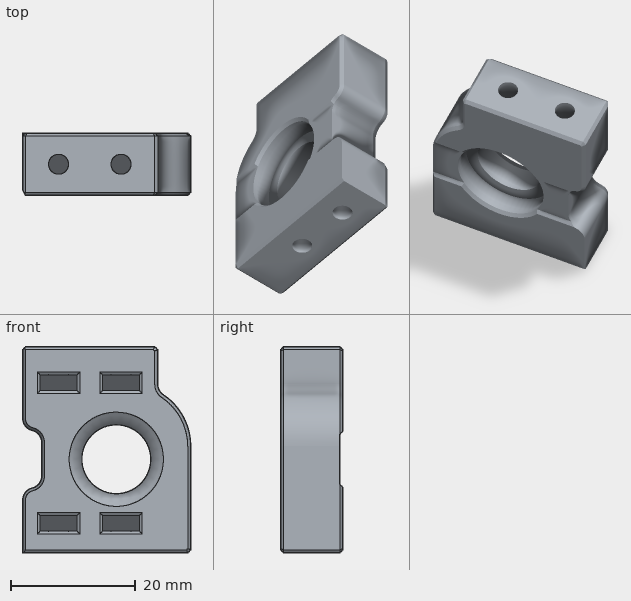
import cadquery as cq
import math

DEPTH = 10.0
LEFT = -15.0
RIGHT = 11.94
TOP = 18.05
BOTTOM = -15.0
UPPER_RIGHT = 6.65
EDGE_CHAMFER = 0.5

SHOULDER_RADIUS = 10.0
SHOULDER_CENTRE_Z = 2.05
SHOULDER_BLEND_RADIUS = 2.0

NOTCH_DEPTH = 3.05
NOTCH_FLOOR_HALF = 2.65
NOTCH_RADIUS = 2.0

LEFT_BEVEL_WIDTH = 0.45
LEFT_BEVEL_DEPTH = 0.9

BORE_DIAMETER = 11.0
COUNTERBORE_DIAMETER = 15.1
COUNTERBORE_FLOOR_Y = 6.25

GROOVE_DEPTH = 0.5
GROOVE_FLOOR_HALF = 4.0
GROOVE_MOUTH_HALF = GROOVE_FLOOR_HALF + GROOVE_DEPTH

SCREW_DIAMETER = 3.2
SCREW_SPACING = 10.0
SCREW_LEFT_X = -9.25
SCREW_XS = (SCREW_LEFT_X, SCREW_LEFT_X + SCREW_SPACING)
SCREW_Y = DEPTH / 2
POCKET_WIDTH = 5.9
POCKET_HEIGHT = 2.5
POCKET_DEPTH = 8.0
POCKET_CHAMFER = 0.45
UPPER_POCKET_Z = 12.25
LOWER_POCKET_Z = -10.25

TOLERANCE = 0.01


def polar(centre, radius, angle):
    """Point at the given angle (radians) on a circle."""
    return (centre[0] + radius * math.cos(angle), centre[1] + radius * math.sin(angle))


def make_body():
    """Extrude the outline with its shoulder, notch and bevelled corners."""
    shoulder = (RIGHT - SHOULDER_RADIUS, SHOULDER_CENTRE_Z)
    blend_x = UPPER_RIGHT + SHOULDER_BLEND_RADIUS
    blend_rise = math.sqrt((SHOULDER_RADIUS + SHOULDER_BLEND_RADIUS) ** 2 - (blend_x - shoulder[0]) ** 2)
    blend = (blend_x, shoulder[1] + blend_rise)
    join_angle = math.atan2(blend_rise, blend_x - shoulder[0])
    shoulder_join = polar(shoulder, SHOULDER_RADIUS, join_angle)
    shoulder_mid = polar(shoulder, SHOULDER_RADIUS, join_angle / 2)
    blend_mid = polar(blend, SHOULDER_BLEND_RADIUS, math.pi + join_angle / 2)

    notch_turn = math.acos(1 - NOTCH_DEPTH / (2 * NOTCH_RADIUS))
    notch_half = NOTCH_FLOOR_HALF + 2 * NOTCH_RADIUS * math.sin(notch_turn)
    notch_floor = LEFT + NOTCH_DEPTH
    inner = (notch_floor - NOTCH_RADIUS, NOTCH_FLOOR_HALF)
    outer = (LEFT + NOTCH_RADIUS, notch_half)
    inner_mid = polar(inner, NOTCH_RADIUS, notch_turn / 2)
    notch_join = polar(inner, NOTCH_RADIUS, notch_turn)
    outer_mid = polar(outer, NOTCH_RADIUS, math.pi + notch_turn / 2)

    def mirrored(point):
        return (point[0], -point[1])

    outline = (
        cq.Workplane("XZ")
        .moveTo(LEFT, BOTTOM)
        .lineTo(RIGHT - EDGE_CHAMFER, BOTTOM)
        .lineTo(RIGHT, BOTTOM + EDGE_CHAMFER)
        .lineTo(RIGHT, SHOULDER_CENTRE_Z)
        .threePointArc(shoulder_mid, shoulder_join)
        .threePointArc(blend_mid, (UPPER_RIGHT, blend[1]))
        .lineTo(UPPER_RIGHT, TOP - EDGE_CHAMFER)
        .lineTo(UPPER_RIGHT - EDGE_CHAMFER, TOP)
        .lineTo(LEFT + EDGE_CHAMFER, TOP)
        .lineTo(LEFT, TOP - EDGE_CHAMFER)
        .lineTo(LEFT, notch_half)
        .threePointArc(outer_mid, notch_join)
        .threePointArc(inner_mid, (notch_floor, NOTCH_FLOOR_HALF))
        .lineTo(notch_floor, -NOTCH_FLOOR_HALF)
        .threePointArc(mirrored(inner_mid), mirrored(notch_join))
        .threePointArc(mirrored(outer_mid), (LEFT, -notch_half))
        .close()
    )
    return outline.extrude(-DEPTH)


def chamfer_outline(body):
    """Bevel the left front edge and chamfer the other front and back outlines.

    The groove edges and the lower left back edge stay sharp.
    """
    notch_floor = LEFT + NOTCH_DEPTH

    def is_left(edge):
        return edge.Center().x < notch_floor + TOLERANCE

    def keeps_sharp(edge):
        on_groove = abs(edge.Center().z) < GROOVE_MOUTH_HALF + TOLERANCE
        lower_left = is_left(edge) and edge.Center().z < 0
        return on_groove or lower_left

    front = body.faces("<Y").edges().vals()
    body = body.newObject([e for e in front if not is_left(e)]).chamfer(EDGE_CHAMFER)
    front = body.faces("<Y").edges().vals()
    body = body.newObject([e for e in front if is_left(e)]).chamfer(LEFT_BEVEL_DEPTH, LEFT_BEVEL_WIDTH)
    back = body.faces(">Y").edges().vals()
    return body.newObject([e for e in back if not keeps_sharp(e)]).chamfer(EDGE_CHAMFER)


def cut_groove(body):
    """Cut the shallow cross groove with 45-degree walls across the back face."""
    groove = (
        cq.Workplane("YZ", origin=(LEFT, 0, 0))
        .moveTo(DEPTH - GROOVE_DEPTH, -GROOVE_FLOOR_HALF)
        .lineTo(DEPTH, -GROOVE_MOUTH_HALF)
        .lineTo(DEPTH, GROOVE_MOUTH_HALF)
        .lineTo(DEPTH - GROOVE_DEPTH, GROOVE_FLOOR_HALF)
        .close()
        .extrude(RIGHT - LEFT)
    )
    return body.cut(groove)


def cut_bore(body):
    """Revolve the bore: 45-degree countersink in front, chamfered counterbore at the back."""
    bore_radius = BORE_DIAMETER / 2
    wide_radius = COUNTERBORE_DIAMETER / 2
    bore = (
        cq.Workplane("XY")
        .lineTo(wide_radius, 0)
        .lineTo(bore_radius, wide_radius - bore_radius)
        .lineTo(bore_radius, COUNTERBORE_FLOOR_Y)
        .lineTo(wide_radius, COUNTERBORE_FLOOR_Y)
        .lineTo(wide_radius, DEPTH - EDGE_CHAMFER)
        .lineTo(wide_radius + EDGE_CHAMFER, DEPTH)
        .lineTo(0, DEPTH)
        .close()
        .revolve(360, (0, 0, 0), (0, 1, 0))
    )
    return body.cut(bore)


def nut_pocket(x, z):
    """Nut pocket open to the front face, with a chamfered mouth."""
    pocket = cq.Workplane("XZ").center(x, z).rect(POCKET_WIDTH, POCKET_HEIGHT).extrude(-POCKET_DEPTH)
    mouth = (
        cq.Workplane("XZ")
        .center(x, z)
        .rect(POCKET_WIDTH + 2 * POCKET_CHAMFER, POCKET_HEIGHT + 2 * POCKET_CHAMFER)
        .workplane(offset=-POCKET_CHAMFER)
        .rect(POCKET_WIDTH, POCKET_HEIGHT)
        .loft(ruled=True)
    )
    return pocket.union(mouth)


def screw_hole(x, z_start, z_end):
    """Vertical screw hole between two heights."""
    return cq.Workplane("XY", origin=(x, SCREW_Y, z_start)).circle(SCREW_DIAMETER / 2).extrude(z_end - z_start)


def cut_fasteners(body):
    """Cut the nut pockets and the screw holes that reach them from above and below."""
    for x in SCREW_XS:
        body = body.cut(nut_pocket(x, UPPER_POCKET_Z))
        body = body.cut(screw_hole(x, UPPER_POCKET_Z, TOP))
        body = body.cut(nut_pocket(x, LOWER_POCKET_Z))
        body = body.cut(screw_hole(x, BOTTOM, LOWER_POCKET_Z))
    return body


result = cut_fasteners(cut_bore(chamfer_outline(cut_groove(make_body()))))